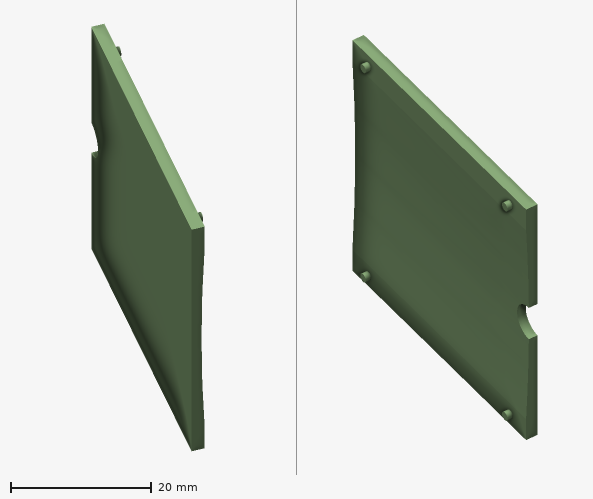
import cadquery as cq

side = 44.0
thickness = 2.0
total_depth = 2.9

notch_radius = 3.0

pin_diameter = 1.4
pin_length = total_depth - thickness
pin_inset_x = 4.05
pin_inset_z = 2.02

relief_inset = 4.0
relief_depth = 0.5

middle = side / 2


def make_plate():
    """Plate whose back is hollowed by a shallow arc running along X."""
    return (
        cq.Workplane("YZ")
        .lineTo(thickness, 0)
        .lineTo(thickness, relief_inset)
        .threePointArc(
            (thickness - relief_depth, middle),
            (thickness, side - relief_inset),
        )
        .lineTo(thickness, side)
        .lineTo(0, side)
        .close()
        .extrude(side)
    )


def make_notch():
    """Round cutter along Y, centred on the X = 0 edge."""
    return cq.Workplane("XZ").center(0, middle).circle(notch_radius).extrude(-thickness)


def make_pin(x, z):
    """Pin standing on the flat part of the back face."""
    back_face = cq.Workplane("XZ", origin=(x, thickness, z))
    return back_face.circle(pin_diameter / 2).extrude(-pin_length)


result = make_plate().cut(make_notch())
for pin_x in (pin_inset_x, side - pin_inset_x):
    for pin_z in (pin_inset_z, side - pin_inset_z):
        result = result.union(make_pin(pin_x, pin_z))